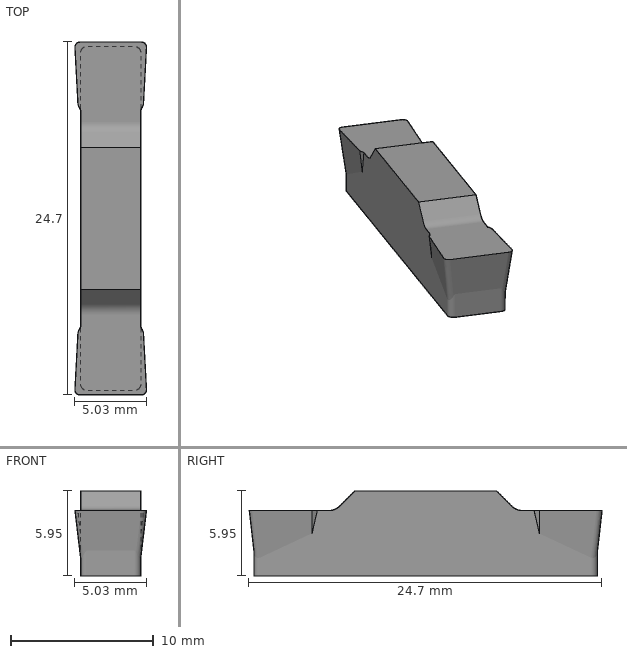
import cadquery as cq
import math

length = 24.73
height = 5.95
seat_height = 4.6
body_width = 4.23

ridge_length = 9.95
ramp_run = height - seat_height
ramp_root_radius = 1.01

clearance = math.tan(math.radians(6.5))
relief_depth = 2.85
tip_width = 5.07
tip_back_width = 4.6
tip_length = 4.4
neck_run = 0.37
tip_corner_radius = 0.37
tip_depth = 3.64

body_corner_radius = 0.45
body_length = length - 2 * relief_depth * clearance


def make_body():
    """Central bar with a raised ridge and rounded vertical corners."""
    half_length = body_length / 2
    half_ridge = ridge_length / 2
    ramp_foot = half_ridge + ramp_run
    profile = [
        (-half_length, 0),
        (half_length, 0),
        (half_length, seat_height),
        (ramp_foot, seat_height),
        (half_ridge, height),
        (-half_ridge, height),
        (-ramp_foot, seat_height),
        (-half_length, seat_height),
    ]
    body = cq.Workplane("YZ").polyline(profile).close().extrude(body_width / 2, both=True)
    ramp_roots = cq.selectors.BoxSelector(
        (-body_width, -ramp_foot - 0.25, seat_height - 0.25),
        (body_width, ramp_foot + 0.25, seat_height + 0.25),
    )
    body = body.edges("|X").edges(ramp_roots).fillet(ramp_root_radius)
    end_corners = body.edges("|Z")
    return end_corners.fillet(body_corner_radius)


def tip_outline(depth):
    """Tip section at a depth below the seat, with its end and flanks drawn inward."""
    inset = clearance * depth
    end_y = length / 2 - inset
    back_y = length / 2 - tip_length
    flank_slope = (tip_width - tip_back_width) / 2 / tip_length
    back_x = tip_back_width / 2 - inset
    end_x = back_x + flank_slope * (end_y - back_y)
    neck_x = body_width / 2 - inset
    neck_y = back_y - neck_run
    right_side = [(neck_x, neck_y), (back_x, back_y), (end_x, end_y)]
    left_side = [(-x, y) for x, y in reversed(right_side)]
    return right_side + left_side


def make_tip():
    """Flared cutting tip at the +Y end, tapering downward into the body."""
    tip = (
        cq.Workplane("XY", origin=(0, 0, seat_height))
        .polyline(tip_outline(0))
        .close()
        .workplane(offset=-tip_depth)
        .polyline(tip_outline(tip_depth))
        .close()
        .loft(ruled=True)
    )
    corners = tip.edges("not #Z").edges(">Y")
    return corners.fillet(tip_corner_radius)


tip = make_tip()
result = make_body()
for angle in (0, 180):
    result = result.union(tip.rotate((0, 0, 0), (0, 0, 1), angle))
result = result.clean()